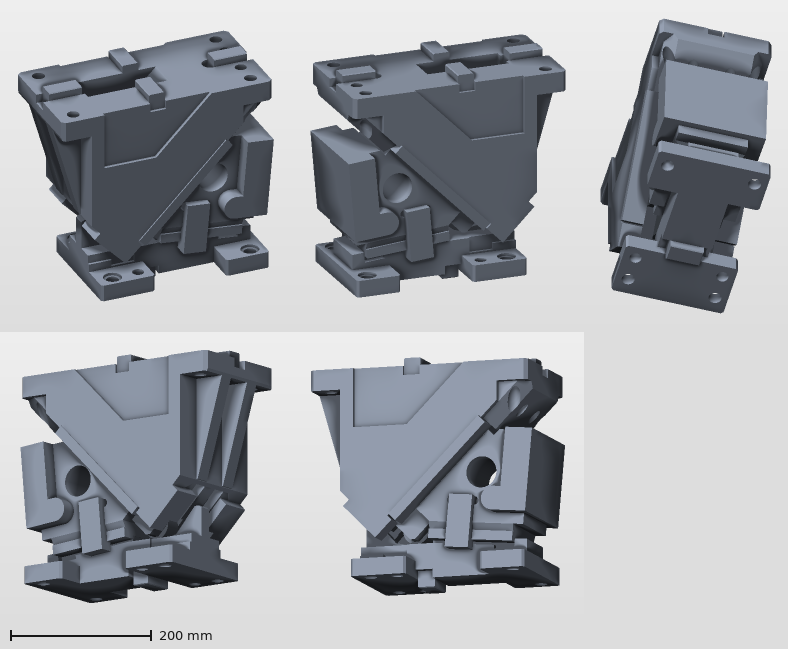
import cadquery as cq
import math

unit_length = 330.0
FAR = 660.0
half_width = 82.5

ramp_plane = cq.Plane(origin=(0, 0, 0), xDir=(0, 1, 1), normal=(1, 0, 0))

track_angle = 5.0
track_cos = math.cos(math.radians(track_angle))
track_sin = math.sin(math.radians(track_angle))
track_plane = cq.Plane(origin=(0, 0, 0), xDir=(0, track_cos, -track_sin), normal=(1, 0, 0))

foot_thickness = 25.0
foot_chamfer = 3.3
front_foot_y = (60.5, 143.3)
rear_foot_y = (253.5, 320.2)
stem_half_width = 37.0
stem_y = (front_foot_y[0], 310.0)
platform_top = 50.0
platform_half_width = 33.0
high_ledge_y = (front_foot_y[0], 95.5)
high_ledge_z = 37.3
low_ledge_y = (95.5, 130.7)
low_ledge_z = 27.7
track_front_y = 166.7
track_b = 74.5
ridge_half_width = 28.5
rebate_a = (132.0, 286.5)
rebate_floor_b = 64.5
deep_rebate_front_a = 256.0
deep_rebate_floor_b = 59.0
rib_half_width = 9.2
rib_outline = [(60.5, 91.5), (64.7, 94.7), (72.3, 94.7), (105.0, 57.8), (130.7, 52.8)]
foot_key_y = (143.3, 168.5)
foot_key_top = 12.5
foot_key_half_length = 24.8
key_protrusion = 12.0
key_chamfer = 1.3
foot_bolt_x = 64.0
foot_bolt_y = (85.0, 297.7)
bolt_diameter = 18.5
bolt_counterbore = 27.0
bolt_counterbore_depth = 4.0
foot_dowel_y = 124.8
dowel_diameter = 17.0

web_half_width = 51.0
web_rear_a = 302.0
web_bottom_b = 93.5
slider_top_b = 228.7
face_half_width = 75.0
face_a = (271.3, (unit_length - slider_top_b * track_sin) / track_cos)
face_bottom_b = 109.0
nose_radius = 17.0
nose_center_a = 260.8
slider_ramp_s = (175.0, 327.0)
slider_ramp_h = -37.3
slider_rear_h = -48.0
slide_h = -11.5
crest_half_width = 49.5
gib_a = (160.5, rebate_a[1])
gib_neck_half_width = 46.2
gib_half_width = 49.2
gib_top_b = 83.2
gib_bottom_b = 69.3
hook_x = (41.5, 63.5)
hook_a = (191.5, 226.0)
hook_b = (55.5, 131.7)
relief_radius = 6.0
relief_below_hook_top = 6.5
rail_x = (12.2, 32.7)
rail_s = (135.3, slider_ramp_s[1])
rail_h = (-58.8, 24.5)
rail_nose_s = 140.3
rail_nose_h = -53.8
heel_radius = 19.5
heel_center = (148.2, -44.5)
window_center = (246.5, 145.5)
window_radius = 22.5

plate_length = 325.0
plate_top = 300.5
plate_thickness = 30.0
plate_bottom = plate_top - plate_thickness
plate_chamfer = 5.3
bevel_start_z = 274.5
gusset_foot = (43.5, 125.0)
gusset_x = (19.5, 42.0)
body_front_y = 45.5
body_rear_y = 279.5
driver_end_s = 119.8
body_foot_h = -22.0
rear_block_s = 335.7
rear_block_h = (-45.5, -26.5)
rear_block_x = (56.0, 72.5)
recess_half_width = 53.0
notch_depth = 2.0
notch_top_h = 49.0
notch_half_width = 43.2
notch_flare = 12.0
stop_s = (107.3, 142.0)
stop_h = (-31.0, 37.0)
stop_inner_x = 35.5
strip_half_width = 84.5
strip_s = (145.0, 334.7)
strip_h = (-36.3, body_foot_h)
side_recess_depth = 5.3
side_recess_y = (65.0, 230.5)
side_recess_floor = 215.0
pocket_half_width = 22.5
pocket_y = (65.0, 189.5)
pocket_floor = 224.5
key_half_width = 12.2
key_depth = 13.2
key_length = 50.5
rear_key_y = 264.7
front_key_y = 9.5
rear_keyway_end = 251.5
cross_key_y = (138.0, 162.5)
cross_key_half_length = 72.5
plate_bolt_x = 62.5
plate_bolt_y = (25.0, 299.5)
plate_dowel_x = 27.5


def span_box(x, y, z):
    """Axis-aligned box from (low, high) pairs."""
    return cq.Workplane("XY").box(
        x[1] - x[0], y[1] - y[0], z[1] - z[0], centered=False
    ).translate((x[0], y[0], z[0]))


def across(plane, outline, x):
    """Closed outline on a plane facing +X, extruded over an X range."""
    return cq.Workplane(plane).workplane(offset=x[0]).polyline(outline).close().extrude(x[1] - x[0])


def across_box(plane, first, second, x):
    """Rectangle given by (low, high) pairs on a plane facing +X, extruded over an X range."""
    outline = [(first[0], second[0]), (first[1], second[0]), (first[1], second[1]), (first[0], second[1])]
    return across(plane, outline, x)


def disc(plane, center, radius, x):
    """Cylinder along X."""
    return cq.Workplane(plane).workplane(offset=x[0]).center(*center).circle(radius).extrude(x[1] - x[0])


def along(plane, outline, first):
    """Outline in (X, second plane axis) swept along the plane's first axis over a range."""
    section = cq.Plane(origin=plane.toWorldCoords((first[0], 0, 0)), xDir=(1, 0, 0), normal=-plane.xDir)
    return cq.Workplane(section).polyline(outline).close().extrude(first[0] - first[1])


def both_ways(half):
    return (-half, half)


def both_sides(part):
    """The part and its mirror image across X = 0."""
    return part.union(part.mirror("YZ"))


def vertical_hole(x, y, diameter):
    return cq.Workplane("XY").center(x, y).circle(diameter / 2).extrude(FAR)


def track_height(b, y):
    """Z of the track-parallel plane at distance b, at a given Y."""
    return (b - y * track_sin) / track_cos


def base_foot(y):
    foot = span_box(both_ways(half_width), y, (0, foot_thickness))
    return foot.edges("|Z").chamfer(foot_chamfer)


def base_stem():
    """Stem with a level front platform and, behind it, a track rebated along both edges."""
    outline = [
        (stem_y[0], 0),
        (stem_y[1], 0),
        (stem_y[1], track_height(track_b, stem_y[1])),
        (track_front_y, track_height(track_b, track_front_y)),
        (track_front_y, platform_top),
        (stem_y[0], platform_top),
    ]
    stem = across("YZ", outline, both_ways(stem_half_width))
    rebate_x = (ridge_half_width, stem_half_width)
    rebate = across_box(track_plane, rebate_a, (rebate_floor_b, track_b), rebate_x)
    deep_a = (deep_rebate_front_a, rebate_a[1])
    rebate = rebate.union(across_box(track_plane, deep_a, (deep_rebate_floor_b, track_b), rebate_x))
    return stem.cut(both_sides(rebate))


def build_base():
    body = base_stem().union(base_foot(front_foot_y)).union(base_foot(rear_foot_y))

    for y, z in ((high_ledge_y, high_ledge_z), (low_ledge_y, low_ledge_z)):
        ledge = span_box((platform_half_width, stem_half_width), y, (z, platform_top))
        body = body.cut(both_sides(ledge))

    rib_foot = [(rib_outline[-1][0], platform_top), (rib_outline[0][0], platform_top)]
    body = body.union(across("YZ", rib_outline + rib_foot, both_ways(rib_half_width)))

    body = body.cut(span_box(both_ways(stem_half_width), foot_key_y, (0, foot_key_top)))
    key = span_box(both_ways(foot_key_half_length), foot_key_y, (-key_protrusion, foot_key_top))
    body = body.union(key.faces("<Z").edges().chamfer(key_chamfer))

    for x in both_ways(foot_bolt_x):
        body = body.cut(vertical_hole(x, foot_dowel_y, dowel_diameter))
        for y in foot_bolt_y:
            bore = vertical_hole(x, y, bolt_diameter)
            counterbore = vertical_hole(x, y, bolt_counterbore)
            counterbore = counterbore.translate((0, 0, foot_thickness - bolt_counterbore_depth))
            body = body.cut(bore).cut(counterbore)
    return body


def slider_face():
    """Working face plate with a rounded nose at its lower front."""
    nose_top_b = face_bottom_b + 2 * nose_radius
    nose_tip = (nose_center_a - nose_radius, face_bottom_b + nose_radius)
    return (
        cq.Workplane(track_plane)
        .workplane(offset=-face_half_width)
        .moveTo(face_a[1], face_bottom_b)
        .lineTo(face_a[1], slider_top_b)
        .lineTo(face_a[0], slider_top_b)
        .lineTo(face_a[0], nose_top_b)
        .lineTo(nose_center_a, nose_top_b)
        .threePointArc(nose_tip, (nose_center_a, face_bottom_b))
        .close()
        .extrude(2 * face_half_width)
    )


def slider_web():
    """Central block whose top and front are cut square to the ramp."""
    web = across_box(track_plane, (0, web_rear_a), (web_bottom_b, slider_top_b), both_ways(web_half_width))
    full = both_ways(web_half_width)
    ramp_cuts = (
        ((0, slider_ramp_s[0]), (-FAR, FAR)),
        (slider_ramp_s, (slider_ramp_h, FAR)),
        ((slider_ramp_s[1], FAR), (slider_rear_h, FAR)),
    )
    for s, h in ramp_cuts:
        web = web.cut(across_box(ramp_plane, s, h, full))
    crest = across_box(ramp_plane, slider_ramp_s, (slider_ramp_h, slide_h), both_ways(crest_half_width))
    return web.union(crest)


def slider_gib():
    """Undercut foot of the web, slotted to ride on the ridge of the base track."""
    half_outline = [
        (web_half_width, web_bottom_b),
        (gib_neck_half_width, gib_top_b),
        (gib_half_width, gib_top_b),
        (gib_half_width, gib_bottom_b),
    ]
    outline = half_outline + [(-x, b) for x, b in reversed(half_outline)]
    gib = along(track_plane, outline, gib_a)
    slot = across_box(track_plane, gib_a, (gib_bottom_b, track_b), both_ways(ridge_half_width))
    return gib.cut(slot)


def slider_rail():
    """Rail standing in a driver channel, with a blunted lower front corner."""
    outline = [
        (rail_s[0], rail_h[1]),
        (rail_s[0], rail_nose_h),
        (rail_nose_s, rail_h[0]),
        (slider_ramp_s[0], rail_h[0]),
        (rail_s[1], slider_rear_h),
        (rail_s[1], rail_h[1]),
    ]
    return across(ramp_plane, outline, rail_x)


def build_slider():
    body = slider_web().union(slider_face()).union(slider_gib()).union(both_sides(slider_rail()))

    heel_x = both_ways(rail_x[0])
    body = body.union(disc(ramp_plane, heel_center, heel_radius, heel_x))
    body = body.cut(disc("YZ", window_center, window_radius, both_ways(half_width)))

    for a in hook_a:
        relief_center = (a, hook_b[1] - relief_below_hook_top)
        relief = disc(track_plane, relief_center, relief_radius, (hook_x[0], web_half_width))
        body = body.cut(both_sides(relief))
    return body.union(both_sides(across_box(track_plane, hook_a, hook_b, hook_x)))


def driver_plate():
    plate = span_box(both_ways(half_width), (0, plate_length), (plate_bottom, plate_top))
    plate = plate.edges("|Z").chamfer(plate_chamfer)
    slope = gusset_foot[0] / (bevel_start_z - gusset_foot[1])
    bevel_y = slope * (bevel_start_z - plate_bottom)
    bevel = [(0, bevel_start_z), (bevel_y, plate_bottom), (0, plate_bottom)]
    plate = plate.cut(across("YZ", bevel, both_ways(half_width)))
    gusset = [
        (bevel_y, plate_bottom),
        gusset_foot,
        (body_front_y, gusset_foot[1]),
        (body_front_y, plate_bottom),
    ]
    return plate.union(both_sides(across("YZ", gusset, gusset_x)))


def driver_body():
    """Block under the plate, cut by the ramp and its lower end plane."""
    body = span_box(both_ways(half_width), (body_front_y, body_rear_y), (0, plate_bottom))
    full = both_ways(half_width)
    ramp_cuts = (
        ((-FAR, driver_end_s), (-FAR, FAR)),
        ((0, rear_block_s), (-FAR, body_foot_h)),
        ((rear_block_s, FAR), (-FAR, rear_block_h[1])),
    )
    for s, h in ramp_cuts:
        body = body.cut(across_box(ramp_plane, s, h, full))
    return body


def driver_rear_block():
    """Wedge-sided ridge behind the slider, trimmed to the rear of the plate."""
    half_outline = [
        (rear_block_x[1], FAR),
        (rear_block_x[1], rear_block_h[1]),
        (rear_block_x[0], rear_block_h[0]),
    ]
    outline = half_outline + [(-x, h) for x, h in reversed(half_outline)]
    block = along(ramp_plane, outline, (rear_block_s, FAR))
    limits = span_box(both_ways(half_width), (body_front_y, plate_length), (0, plate_bottom))
    return block.intersect(limits)


def driver_slideway():
    """Material removed under the driver for the slider crest and rails."""
    cut = across_box(ramp_plane, (0, rear_block_s), (-FAR, slide_h), both_ways(recess_half_width))
    channel = across_box(ramp_plane, (0, rail_s[1]), (-FAR, notch_top_h), rail_x)
    notch_base = notch_half_width + notch_flare
    notch = [
        (notch_half_width, notch_top_h),
        (notch_base, notch_top_h - notch_flare),
        (notch_base, -FAR),
    ]
    outline = notch + [(-x, h) for x, h in reversed(notch)]
    return cut.union(both_sides(channel)).union(along(ramp_plane, outline, (0, driver_end_s + notch_depth)))


def driver_stop():
    """Stop block closing the lower end of the slideway on one side."""
    inner = across_box(ramp_plane, stop_s, (slide_h, stop_h[1]), (stop_inner_x, recess_half_width))
    return inner.union(across_box(ramp_plane, stop_s, stop_h, (recess_half_width, half_width)))


def keyways():
    z = (plate_top - key_depth, plate_top)
    across_x = both_ways(key_half_width)
    front = span_box(across_x, (0, pocket_y[0]), z)
    round_center = rear_keyway_end + key_half_width
    rear = span_box(across_x, (round_center, plate_length), z)
    rear_end = vertical_hole(0, round_center, 2 * key_half_width).translate((0, 0, z[0]))
    cross = span_box(both_ways(half_width), cross_key_y, z)
    return front.union(rear).union(rear_end).union(cross)


def keys():
    z = (plate_top - key_depth, plate_top + key_protrusion)
    across_x = both_ways(key_half_width)
    blanks = [
        span_box(across_x, (front_key_y, front_key_y + key_length), z),
        span_box(across_x, (rear_key_y, rear_key_y + key_length), z),
        span_box((pocket_half_width, cross_key_half_length), cross_key_y, z),
        span_box((-cross_key_half_length, -pocket_half_width), cross_key_y, z),
    ]
    lengthwise = ("|Y", "|Y", "|X", "|X")
    return [key.faces(">Z").edges(side).chamfer(key_chamfer) for key, side in zip(blanks, lengthwise)]


def sloped_pocket(y, floor, x):
    """Pocket open at the top, with a 45 degree rear wall."""
    outline = [
        (y[0], plate_top),
        (y[0], floor),
        (y[1] - (plate_top - floor), floor),
        (y[1], plate_top),
    ]
    return across("YZ", outline, x)


def build_driver():
    body = driver_plate().union(driver_body()).union(driver_rear_block()).cut(driver_slideway())
    body = body.union(both_sides(driver_stop()))
    strip_x = (recess_half_width, strip_half_width)
    body = body.union(both_sides(across_box(ramp_plane, strip_s, strip_h, strip_x)))

    recess_x = (half_width - side_recess_depth, half_width)
    body = body.cut(both_sides(sloped_pocket(side_recess_y, side_recess_floor, recess_x)))
    body = body.cut(sloped_pocket(pocket_y, pocket_floor, both_ways(pocket_half_width)))
    body = body.cut(keyways())
    for key in keys():
        body = body.union(key)

    for x in both_ways(plate_bolt_x):
        for y in plate_bolt_y:
            body = body.cut(vertical_hole(x, y, bolt_diameter))
    for x in both_ways(plate_dowel_x):
        body = body.cut(vertical_hole(x, plate_bolt_y[1], dowel_diameter))
    return body


base = build_base()
slider = build_slider()
driver = build_driver()

result = cq.Compound.makeCompound([*base.solids().vals(), *slider.solids().vals(), *driver.solids().vals()])